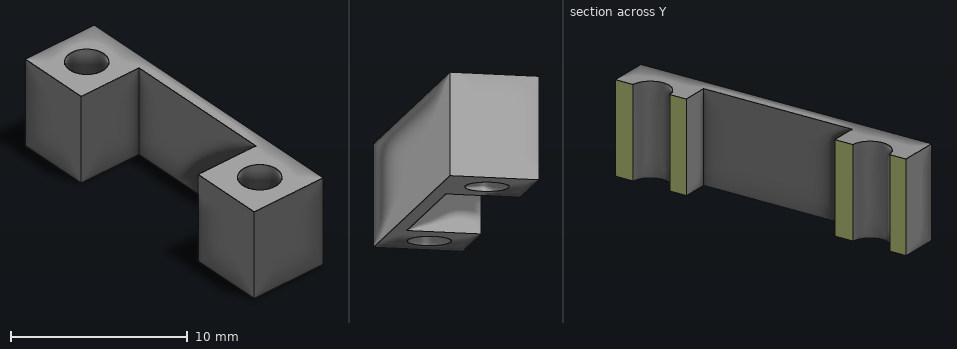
import cadquery as cq

length = 19.88
depth = 5.17
height = 6.0

block_width = 4.87
wall_thickness = 0.85

hole_diameter = 2.5
hole_from_front = 2.47
hole_spacing = 15.0
left_hole_inset = 2.48
left_hole_x = left_hole_inset - length / 2

body = cq.Workplane("XY").box(length, depth, height, centered=(True, False, False))

gap = cq.Workplane("XY").box(
    length - 2 * block_width,
    depth - wall_thickness,
    height,
    centered=(True, False, False),
)

holes = (
    cq.Workplane("XY")
    .pushPoints([(x, hole_from_front) for x in (left_hole_x, left_hole_x + hole_spacing)])
    .circle(hole_diameter / 2)
    .extrude(height)
)

result = body.cut(gap).cut(holes)